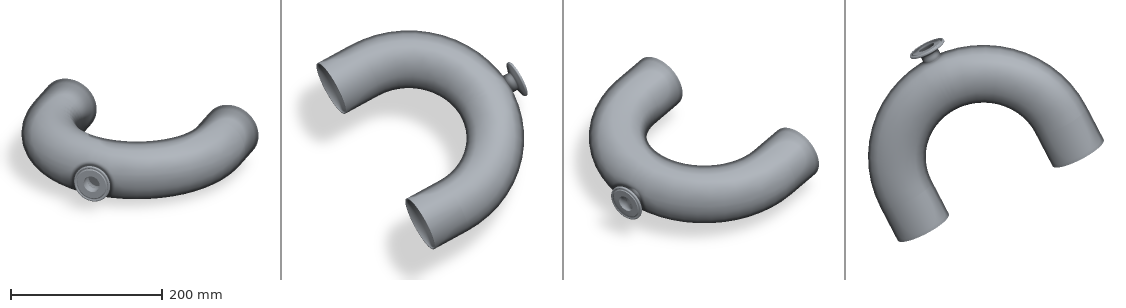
import cadquery as cq
import math

overall_width = 304.8
tube_diameter = 76.2
tube_bore = 72.8
leg_length = 51.0
bend_radius = (overall_width - tube_diameter) / 2

overall_depth = 219.0
face_y = leg_length - overall_depth
neck_diameter = 25.3
stub_bore = 22.0
ferrule_bore = 22.5
ferrule_length = 12.8
weld_round = 1.0

flange_diameter = 50.3
cone_angle = 20.0
cone_root_round = 1.0
rim_thickness = 3.0
rim_round = 1.2

groove_center_diameter = 43.3
groove_round = 1.5
groove_depth = 1.2


def swept_bar(diameter):
    """Solid round bar following the U-shaped centreline."""
    path = (
        cq.Workplane("XY")
        .moveTo(-bend_radius, leg_length)
        .lineTo(-bend_radius, 0)
        .threePointArc((0, -bend_radius), (bend_radius, 0))
        .lineTo(bend_radius, leg_length)
    )
    return (
        cq.Workplane("XZ", origin=(-bend_radius, leg_length, 0))
        .circle(diameter / 2)
        .sweep(path)
    )


def port_cylinder(diameter, inner_end_y):
    """Cylinder on the port axis, from the ferrule face inward to the given Y."""
    return (
        cq.Workplane("XZ", origin=(0, inner_end_y, 0))
        .circle(diameter / 2)
        .extrude(inner_end_y - face_y)
    )


def port_blank():
    """Solid neck and clamp flange, with a conical flange back and a rounded rim."""
    neck_radius = neck_diameter / 2
    flange_radius = flange_diameter / 2
    rim_back_y = face_y + rim_thickness
    cone_height = (flange_radius - neck_radius) * math.tan(math.radians(cone_angle))
    cone_root_y = rim_back_y + cone_height
    blank = (
        cq.Workplane("XY")
        .moveTo(0, face_y)
        .lineTo(flange_radius, face_y)
        .lineTo(flange_radius, rim_back_y)
        .lineTo(neck_radius, cone_root_y)
        .lineTo(neck_radius, -bend_radius)
        .lineTo(0, -bend_radius)
        .close()
        .revolve(360, (0, 0, 0), (0, 1, 0))
    )
    rim_edges = cq.selectors.RadiusNthSelector(-1)
    cone_root = cq.selectors.NearestToPointSelector((0, cone_root_y, 0))
    return blank.edges(rim_edges).fillet(rim_round).edges("%CIRCLE").edges(cone_root).fillet(cone_root_round)


def gasket_groove():
    """Ring of circular section that cuts a shallow groove in the ferrule face."""
    ring_radius = groove_center_diameter / 2
    ring = cq.Solid.makeTorus(
        ring_radius,
        groove_round,
        cq.Vector(0, face_y + groove_depth - groove_round, 0),
        cq.Vector(0, 1, 0),
    )
    return cq.Workplane(obj=ring)


def weld_edges():
    """Selector for the curve where the neck meets the outside of the bend."""
    neck_radius = neck_diameter / 2
    bend_outer_y = -overall_width / 2
    return cq.selectors.BoxSelector(
        (-neck_radius, bend_outer_y - weld_round, -neck_radius),
        (neck_radius, bend_outer_y + neck_radius / 2, neck_radius),
    )


body = swept_bar(tube_diameter).union(port_blank())
body = body.edges(weld_edges()).fillet(weld_round)
result = (
    body.cut(swept_bar(tube_bore))
    .cut(port_cylinder(stub_bore, -bend_radius))
    .cut(port_cylinder(ferrule_bore, face_y + ferrule_length))
    .cut(gasket_groove())
)